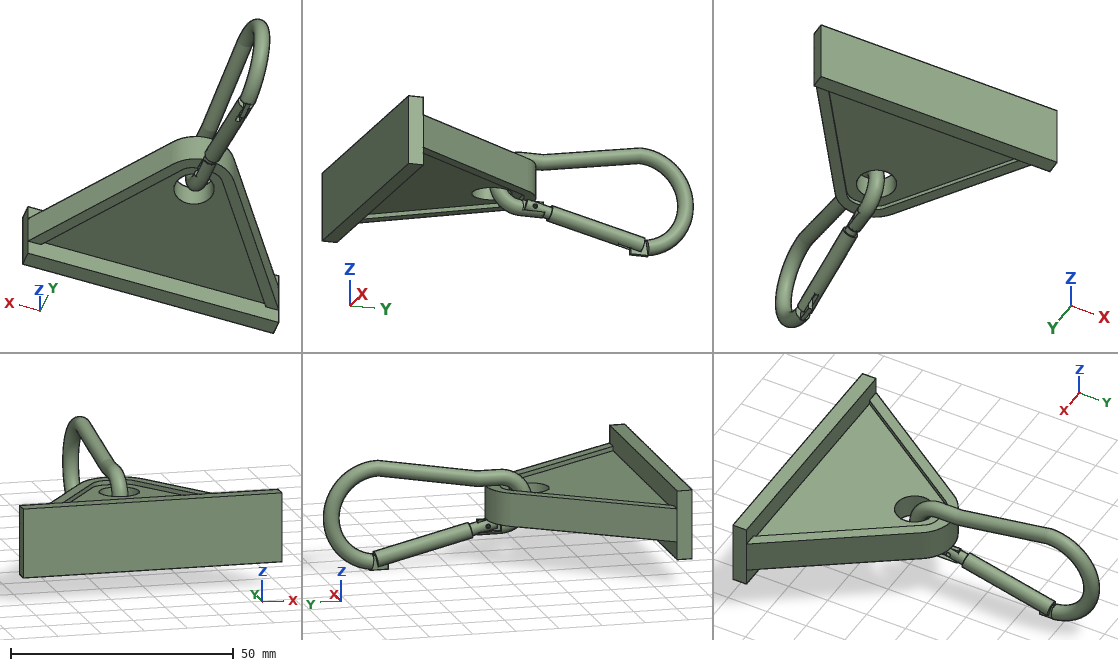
import cadquery as cq
import math

overall_length = 77.6

plate_width = 60.0
plate_thickness = 3.5
plate_height = 16.0
web_thickness = 7.7
eye_y = 30.0
eye_radius = 4.5
nose_radius = 8.9
nose_y = 40.0
rim_width = 2.55
nose_rim_width = 3.0
recess_depth = 1.0
recess_corner_radius = 4.0

wire_radius = 1.8
hook_x = 0.55
small_bend_y = 36.7
small_bend_radius = web_thickness / 2 + wire_radius
straight_length = 5.2
big_bend_radius = 10.9
big_bend_y = overall_length - big_bend_radius - wire_radius
big_bend_z = -1.25
tip_angle = 8.0
tongue_thickness = 1.0
tip_tongue_length = 3.8
tip_tongue_height = 3.4
tip_root = 0.5
gate_slot_length = 6.7
lip_height = 0.85

gate_radius = 1.82
neck_radius = 1.4
pivot_y = 39.7
pivot_z = -5.3
pivot_hole_radius = 0.505
gate_angle = 13.6
gate_reach = 26.5
neck_reach = 3.95
neck_overhang = 2.1

straight_end_y = small_bend_y + straight_length
end_bottom = -small_bend_radius - wire_radius
tip_y = big_bend_y + big_bend_radius * math.sin(math.radians(tip_angle))
lowest_z = big_bend_z - big_bend_radius - wire_radius


def box(x_size, y_range, z_range):
    """Box centred on the hook plane, between two Y and two Z limits."""
    y_min, y_max = y_range
    z_min, z_max = z_range
    block = cq.Workplane("XY").box(x_size, y_max - y_min, z_max - z_min)
    return block.translate((hook_x, (y_min + y_max) / 2, (z_min + z_max) / 2))


def pivot_hole():
    hole = cq.Workplane("YZ").center(pivot_y, pivot_z).circle(pivot_hole_radius)
    return hole.extrude(2 * wire_radius, both=True).translate((hook_x, 0, 0))


def gate_rod(radius, start, end):
    """Round rod on the gate axis, between two distances from the pivot."""
    angle = math.radians(gate_angle)
    direction = cq.Vector(0, math.cos(angle), -math.sin(angle))
    base = cq.Vector(hook_x, pivot_y, pivot_z) + direction * start
    return cq.Workplane(cq.Solid.makeCylinder(radius, end - start, base, direction))


def make_bracket():
    half_width = plate_width / 2
    nose_center_y = nose_y - nose_radius
    rise = nose_center_y - plate_thickness
    distance = math.hypot(half_width, rise)
    slope = math.atan2(rise, half_width) + math.asin(nose_radius / distance)
    tangent_x = nose_radius * math.sin(slope)
    tangent_y = nose_center_y + nose_radius * math.cos(slope)

    plate = cq.Workplane("XY").box(plate_width, plate_thickness, plate_height)
    plate = plate.translate((0, plate_thickness / 2, 0))
    web = (
        cq.Workplane("XY")
        .workplane(offset=-web_thickness / 2)
        .moveTo(-half_width, plate_thickness)
        .lineTo(half_width, plate_thickness)
        .lineTo(tangent_x, tangent_y)
        .threePointArc((0, nose_y), (-tangent_x, tangent_y))
        .close()
        .extrude(web_thickness)
    )

    recess_half_width = half_width - rim_width / math.sin(slope)
    recess_top = nose_y - nose_rim_width
    recess_top_half = recess_half_width - (recess_top - plate_thickness) / math.tan(slope)
    recess = (
        cq.Workplane("XY")
        .workplane(offset=web_thickness / 2 - recess_depth)
        .moveTo(-recess_half_width, plate_thickness)
        .lineTo(recess_half_width, plate_thickness)
        .lineTo(recess_top_half, recess_top)
        .lineTo(-recess_top_half, recess_top)
        .close()
        .extrude(recess_depth)
        .edges("|Z and >Y")
        .fillet(recess_corner_radius)
    )
    eye = cq.Workplane("XY").center(0, eye_y).circle(eye_radius).extrude(web_thickness, both=True)
    return plate.union(web).cut(recess).cut(recess.mirror("XY")).cut(eye)


def pivot_blade():
    """Flat blade filling the pivot end of the hook at the tongue thickness."""
    return box(tongue_thickness, (small_bend_y, straight_end_y), (end_bottom, 0))


def tip_blade(length):
    """Flat blade running from inside the hook tip towards the pivot."""
    return box(tongue_thickness, (tip_y - length, tip_y + tip_root),
               (lowest_z, lowest_z + tip_tongue_height))


def wire_circle(y, z):
    """Wire section in the XZ plane at a given Y and Z."""
    return cq.Workplane("XZ", origin=(hook_x, y, z)).circle(wire_radius)


def bend(center_y, center_z, radius, turn, side):
    """Round bend from the top of its circle, turning towards the given Y side (+1 or -1)."""
    section = wire_circle(center_y, center_z + radius)
    return section.revolve(turn, (0, -radius), (-side, -radius))


def make_wire():
    """Pivot end, small bend, shank and big bend, joined end to end."""
    pivot_end = wire_circle(straight_end_y, -small_bend_radius).extrude(straight_length)
    upper_end = wire_circle(straight_end_y, small_bend_radius).extrude(straight_length)
    small_bend = bend(small_bend_y, 0, small_bend_radius, 180, -1)
    big_bend = bend(big_bend_y, big_bend_z, big_bend_radius, 180 - tip_angle, 1)
    shank = cq.Workplane(cq.Solid.makeLoft([
        wire_circle(straight_end_y, small_bend_radius).val(),
        wire_circle(big_bend_y, big_bend_z + big_bend_radius).val(),
    ], True))
    return pivot_end.union(small_bend).union(upper_end).union(shank).union(big_bend)


def make_hook():
    wire = make_wire()
    side_cut = box(3 * wire_radius, (small_bend_y, straight_end_y), (end_bottom + lip_height, 0))
    side_cut = side_cut.union(gate_rod(neck_radius, -neck_overhang, neck_reach))
    wire = wire.cut(side_cut.cut(pivot_blade()))
    return wire.union(tip_blade(tip_tongue_length)).cut(pivot_hole())


def make_gate():
    gate = gate_rod(gate_radius, neck_reach, gate_reach)
    gate = gate.union(gate_rod(neck_radius, -neck_overhang, neck_reach))
    web_clearance = box(plate_width, (0, nose_y), (-web_thickness / 2, 0))
    return gate.cut(pivot_blade()).cut(web_clearance).cut(tip_blade(gate_slot_length)).cut(pivot_hole())


bracket = make_bracket()
hook = make_hook()
gate = make_gate()
result = cq.Compound.makeCompound([bracket.solids().val(), hook.solids().val(), gate.solids().val()])